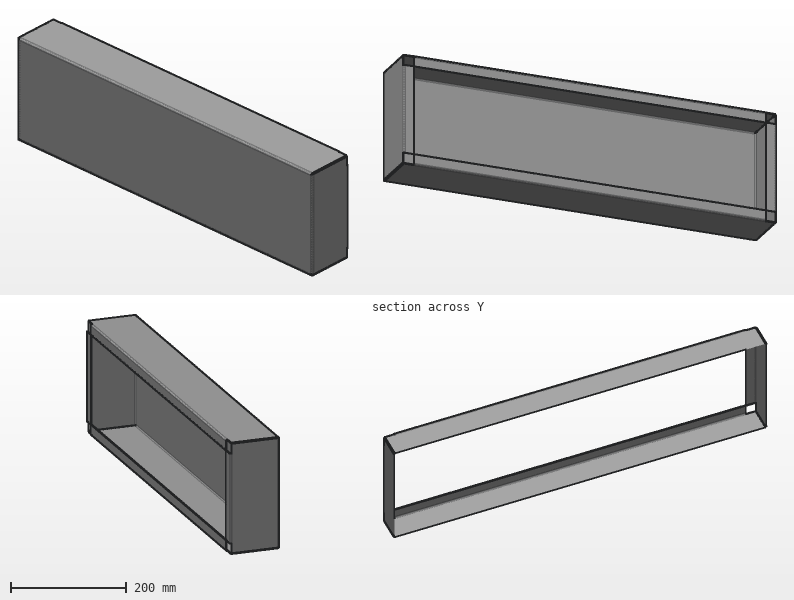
import cadquery as cq

LENGTH = 700.0
DEPTH = 92.0
HEIGHT = 204.0

SHEET = 2.0
FRONT_BEND_RADIUS = 4.0
BACK_BEND_RADIUS = 3.0
LIP_WIDTH = 20.0

CORNER_CLEARANCE = 0.1
CORNER_NOTCH = SHEET + CORNER_CLEARANCE


def rounded_block(length, depth, height, front_radius, back_radius):
    """Centred block with rounded edges around its front and back faces."""
    block = cq.Workplane("XY").box(length, depth, height)
    block = block.faces("<Y").edges().fillet(front_radius)
    return block.faces(">Y").edges().fillet(back_radius)


def folded_shell():
    """Sheet of even thickness that follows the outside of the block, closed all round."""
    outside = rounded_block(LENGTH, DEPTH, HEIGHT, FRONT_BEND_RADIUS, BACK_BEND_RADIUS)
    inside = rounded_block(
        LENGTH - 2 * SHEET,
        DEPTH - 2 * SHEET,
        HEIGHT - 2 * SHEET,
        FRONT_BEND_RADIUS - SHEET,
        BACK_BEND_RADIUS - SHEET,
    )
    return outside.cut(inside)


def back_opening():
    """Rectangular opening in the back that leaves the return lips around it."""
    opening = cq.Workplane("XY").box(LENGTH - 2 * LIP_WIDTH, 2 * SHEET, HEIGHT - 2 * LIP_WIDTH)
    return opening.translate((0, DEPTH / 2, 0))


def cut_at_long_corners(part, tool):
    """Cut the tool from the part at each of the four outer corners of the XZ outline."""
    for x in (-LENGTH / 2, LENGTH / 2):
        for z in (-HEIGHT / 2, HEIGHT / 2):
            part = part.cut(tool.translate((x, 0, z)))
    return part


def corner_notch():
    """Square notch along Y that parts neighbouring side flanges."""
    return cq.Workplane("XY").box(2 * CORNER_NOTCH, DEPTH, 2 * CORNER_NOTCH)


def lip_relief():
    """Square corner relief that parts neighbouring return lips, bends included."""
    relief = cq.Workplane("XY").box(2 * LIP_WIDTH, 2 * BACK_BEND_RADIUS, 2 * LIP_WIDTH)
    return relief.translate((0, DEPTH / 2, 0))


tray = folded_shell().cut(back_opening())
tray = cut_at_long_corners(tray, corner_notch())
tray = cut_at_long_corners(tray, lip_relief())

result = cq.Workplane("XY").newObject([tray.solids().val()])